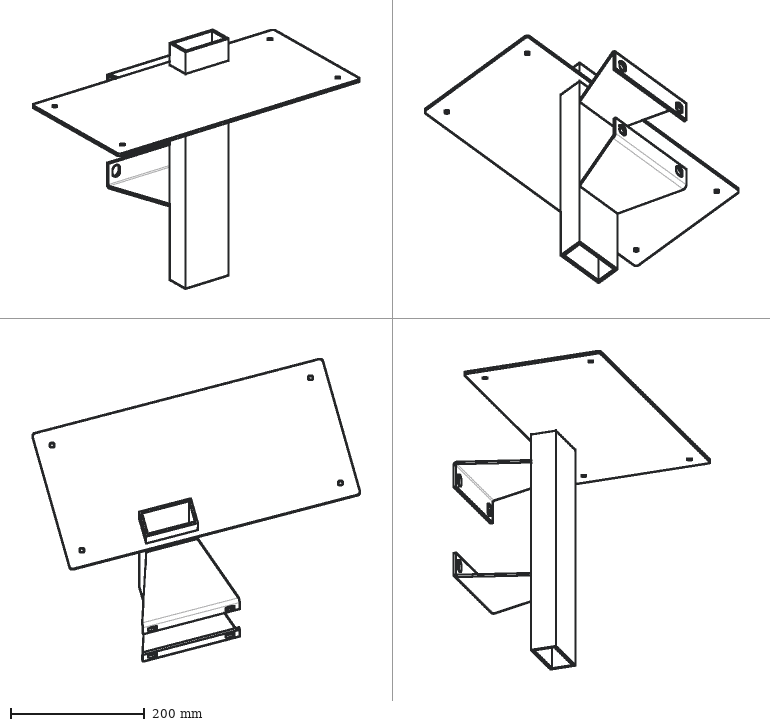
import cadquery as cq

POST_X = 40.0
POST_Y = 80.0
POST_HEIGHT = 390.0
POST_WALL = 3.5

PLATE_X = 219.5
PLATE_Y = 450.0
PLATE_THICKNESS = 4.0
PLATE_CORNER_RADIUS = 5.0
PLATE_OVERHANG_X = 9.5
PLATE_OVERHANG_Y = 120.0
PLATE_DROP = 36.0
PLATE_HOLE_DIAMETER = 7.0
PLATE_HOLE_INSET = 24.8

BRACKET_REACH = 110.5
BRACKET_WIDTH = 150.0
BRACKET_THICKNESS = 4.0
FLANGE_HEIGHT = 40.0
BEND_RADIUS = 6.0
UPPER_BRACKET_DROP = 81.5
LOWER_BRACKET_DROP = 269.0
SLOT_WIDTH = 14.0
SLOT_LENGTH = 19.0
SLOT_SPACING = 120.0
SLOT_DROP = 24.5

POST_FACE_X = -POST_X / 2
FLANGE_FACE_X = POST_FACE_X - BRACKET_REACH


def make_bracket():
    """Bracket with its web's outer face at Z = 0 and its flange pointing down."""
    profile = (
        cq.Workplane("XZ")
        .moveTo(POST_FACE_X, 0)
        .lineTo(FLANGE_FACE_X + BEND_RADIUS, 0)
        .radiusArc((FLANGE_FACE_X, -BEND_RADIUS), -BEND_RADIUS)
        .lineTo(FLANGE_FACE_X, -FLANGE_HEIGHT)
        .lineTo(FLANGE_FACE_X + BRACKET_THICKNESS, -FLANGE_HEIGHT)
        .lineTo(FLANGE_FACE_X + BRACKET_THICKNESS, -BEND_RADIUS)
        .radiusArc((FLANGE_FACE_X + BEND_RADIUS, -BRACKET_THICKNESS), BEND_RADIUS - BRACKET_THICKNESS)
        .lineTo(POST_FACE_X, -BRACKET_THICKNESS)
        .close()
        .extrude(BRACKET_WIDTH / 2, both=True)
    )
    outline = (
        cq.Workplane("XY")
        .polyline([
            (FLANGE_FACE_X, -BRACKET_WIDTH / 2),
            (FLANGE_FACE_X + BEND_RADIUS, -BRACKET_WIDTH / 2),
            (POST_FACE_X, -POST_Y / 2),
            (POST_FACE_X, POST_Y / 2),
            (FLANGE_FACE_X + BEND_RADIUS, BRACKET_WIDTH / 2),
            (FLANGE_FACE_X, BRACKET_WIDTH / 2),
        ])
        .close()
        .extrude(-FLANGE_HEIGHT)
    )
    slots = (
        cq.Workplane("YZ", origin=(FLANGE_FACE_X, 0, -SLOT_DROP))
        .pushPoints([(-SLOT_SPACING / 2, 0), (SLOT_SPACING / 2, 0)])
        .slot2D(SLOT_LENGTH, SLOT_WIDTH, 90)
        .extrude(BRACKET_THICKNESS)
    )
    return profile.intersect(outline).cut(slots)


def make_post():
    """Open tube with the two mirrored brackets welded to it."""
    tube = (
        cq.Workplane("XY")
        .rect(POST_X, POST_Y)
        .rect(POST_X - 2 * POST_WALL, POST_Y - 2 * POST_WALL)
        .extrude(POST_HEIGHT)
    )
    bracket = make_bracket()
    upper = bracket.translate((0, 0, POST_HEIGHT - UPPER_BRACKET_DROP))
    lower = bracket.mirror("XY").translate((0, 0, POST_HEIGHT - LOWER_BRACKET_DROP))
    return tube.union(upper).union(lower)


def make_plate():
    """Rounded plate with four corner holes and a window fitting the post."""
    center_x = POST_FACE_X - PLATE_OVERHANG_X + PLATE_X / 2
    center_y = POST_Y / 2 + PLATE_OVERHANG_Y - PLATE_Y / 2
    bottom_z = POST_HEIGHT - PLATE_DROP - PLATE_THICKNESS
    blank = (
        cq.Workplane("XY", origin=(center_x, center_y, bottom_z))
        .rect(PLATE_X, PLATE_Y)
        .extrude(PLATE_THICKNESS)
        .edges("|Z")
        .fillet(PLATE_CORNER_RADIUS)
    )
    holes = (
        cq.Workplane("XY", origin=(center_x, center_y, bottom_z))
        .rect(PLATE_X - 2 * PLATE_HOLE_INSET, PLATE_Y - 2 * PLATE_HOLE_INSET, forConstruction=True)
        .vertices()
        .circle(PLATE_HOLE_DIAMETER / 2)
        .extrude(PLATE_THICKNESS)
    )
    window = (
        cq.Workplane("XY", origin=(0, 0, bottom_z))
        .rect(POST_X, POST_Y)
        .extrude(PLATE_THICKNESS)
    )
    return blank.cut(holes).cut(window)


post = make_post()
plate = make_plate()

result = cq.Compound.makeCompound([post.val(), plate.val()])